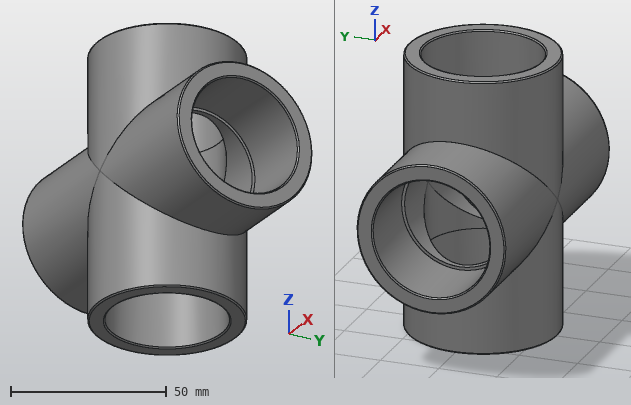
import cadquery as cq

length = 94.0
outer_diameter = 51.0
socket_diameter = 40.0
bore_diameter = 38.0
socket_depth = 26.0
edge_chamfer = 0.5

half_length = length / 2
outer_radius = outer_diameter / 2
socket_radius = socket_diameter / 2
bore_radius = bore_diameter / 2
socket_floor = half_length - socket_depth


def revolve_about_z(half_profile):
    """Revolve an (x, z) half profile about Z and add its mirror image below."""
    upper = cq.Workplane("XZ").polyline(half_profile).close().revolve(360, (0, 0), (0, 1))
    return upper.union(upper.mirror("XY"))


def lay_along_x(body):
    return body.rotate((0, 0, 0), (0, 1, 0), 90)


def add_crossing_copy(body):
    return body.union(lay_along_x(body))


outer_tube = revolve_about_z([
    (0, 0),
    (outer_radius, 0),
    (outer_radius, half_length - edge_chamfer),
    (outer_radius - edge_chamfer, half_length),
    (0, half_length),
])

passage = revolve_about_z([
    (0, 0),
    (bore_radius, 0),
    (bore_radius, socket_floor),
    (socket_radius, socket_floor),
    (socket_radius, half_length - edge_chamfer),
    (socket_radius + edge_chamfer, half_length),
    (0, half_length),
])

result = add_crossing_copy(outer_tube).cut(passage).cut(lay_along_x(passage))